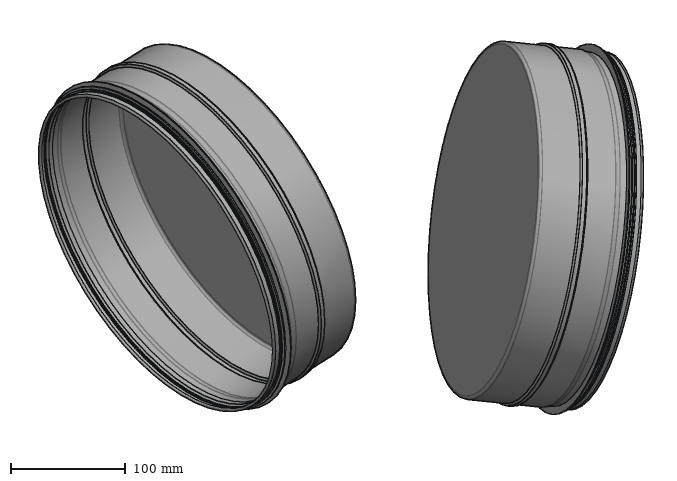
import cadquery as cq
import math

cap_depth = 96.0
wall_radius = 314.0 / 2
sheet = 0.5

end_radius = 3.0

opening_radius = 308.0 / 2
hem_radius = (wall_radius - opening_radius) / 2

bead_radius = 317.8 / 2
bead_center = 55.0
bead_root_width = 7.0
bead_crest_width = 4.0

groove_radius = 310.3 / 2
groove_front = 6.8
groove_back = 26.0
groove_shoulder_radius = 311.0 / 2
front_ramp_length = 4.2
back_ramp_length = 4.5

gasket_radius = 313.0 / 2
gasket_back = 15.5
lip_base_overlap = 0.3
lip_tip_radii = [324.2 / 2, 319.5 / 2, 315.8 / 2]
lip_back_faces = [15.5, 11.5, 9.0]
lip_root_widths = [2.3, 1.3, 1.0]
lip_tip_widths = [1.0, 1.3, 0.5]


def revolve_about_y(profile):
    """Turn a closed (radius, Y) profile in the XY plane into a ring or cup."""
    return profile.close().revolve(360, (0, 0, 0), (0, 1, 0))


def wall_points(inset):
    """Side wall corners from behind the hem to the closed end, moved inward by inset."""
    wall = wall_radius - inset
    bead = bead_radius - inset
    groove = groove_radius - inset
    return [
        (wall, groove_front),
        (groove, groove_front + front_ramp_length),
        (groove, gasket_back),
        (groove_shoulder_radius - inset, groove_back - back_ramp_length),
        (wall, groove_back),
        (wall, bead_center - bead_root_width / 2),
        (bead, bead_center - bead_crest_width / 2),
        (bead, bead_center + bead_crest_width / 2),
        (wall, bead_center + bead_root_width / 2),
        (wall, cap_depth - end_radius),
    ]


def arc_point(center, radius, angle):
    """Point on a circle at an angle in degrees from the radial direction."""
    turn = math.radians(angle)
    return (center[0] + radius * math.cos(turn), center[1] + radius * math.sin(turn))


def make_shell():
    """Sheet cup: flat closed end, beaded and grooved wall, solid hem along the rim."""
    hem_center = (wall_radius - hem_radius, hem_radius)
    hem_to_wall_angle = math.degrees(math.acos((wall_radius - sheet - hem_center[0]) / hem_radius))
    hem_inner_end = arc_point(hem_center, hem_radius, hem_to_wall_angle)
    hem_inside_angle = (180 + hem_to_wall_angle) / 2
    end_center = (wall_radius - end_radius, cap_depth - end_radius)
    outer = wall_points(0)
    inner = wall_points(sheet)[::-1]
    profile = (
        cq.Workplane("XY")
        .moveTo(opening_radius, hem_radius)
        .threePointArc((hem_center[0], 0), (wall_radius, hem_radius))
        .polyline(outer, includeCurrent=True)
        .threePointArc(arc_point(end_center, end_radius, 45), (end_center[0], cap_depth))
        .lineTo(0, cap_depth)
        .lineTo(0, cap_depth - sheet)
        .lineTo(end_center[0], cap_depth - sheet)
        .threePointArc(arc_point(end_center, end_radius - sheet, 45), inner[0])
        .polyline(inner[1:], includeCurrent=True)
        .lineTo(*hem_inner_end)
        .threePointArc(arc_point(hem_center, hem_radius, hem_inside_angle), (opening_radius, hem_radius))
    )
    return revolve_about_y(profile)


def make_gasket_band():
    """Band that fills the front part of the groove and seats on its front ramp."""
    ramp_share = (gasket_radius - groove_radius) / (wall_radius - groove_radius)
    front_edge = groove_front + front_ramp_length * (1 - ramp_share)
    profile = cq.Workplane("XY").polyline([
        (groove_radius, groove_front + front_ramp_length),
        (gasket_radius, front_edge),
        (gasket_radius, gasket_back),
        (groove_radius, gasket_back),
    ])
    return revolve_about_y(profile)


def make_lip(tip_radius, back_face, root_width, tip_width):
    """Sealing lip with a flat back face and a tapered front face."""
    root_radius = gasket_radius - lip_base_overlap
    profile = cq.Workplane("XY").polyline([
        (root_radius, back_face - root_width),
        (tip_radius, back_face - tip_width),
        (tip_radius, back_face),
        (root_radius, back_face),
    ])
    return revolve_about_y(profile)


def make_gasket():
    """One-piece gasket: band and lips."""
    body = make_gasket_band()
    for lip in zip(lip_tip_radii, lip_back_faces, lip_root_widths, lip_tip_widths):
        body = body.union(make_lip(*lip))
    return body


shell = make_shell()
gasket = make_gasket()

result = cq.Compound.makeCompound([shell.val(), *gasket.vals()])